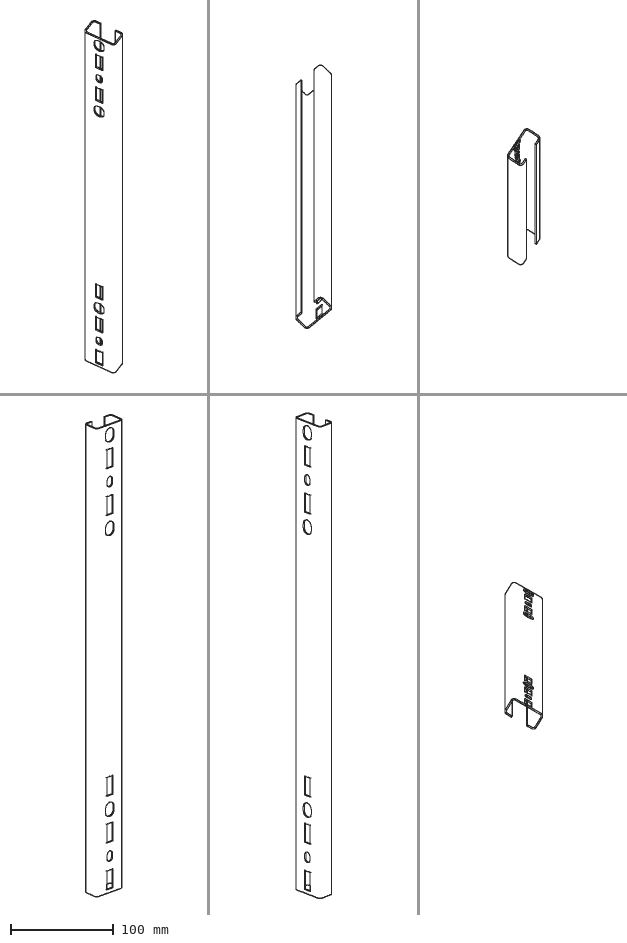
import cadquery as cq

WIDTH = 35.0
DEPTH = 18.0
LENGTH = 500.0
WALL = 1.5
MOUTH = 17.0
OUTER_RADIUS = 3.5
INNER_RADIUS = OUTER_RADIUS - WALL

PITCH = 25.0
FIRST_FROM_TOP = 11.0
FIRST_FROM_BOTTOM = 14.0
RECTANGLE = (8.0, 20.0)
SMALL_WIDTH = 7.0
LARGE_WIDTH = 11.0
SLOT_TRAVEL = 4.0
ALONG_RAIL = 90

TOP_ROW = ("large", "rectangle", "small", "rectangle", "large")
BOTTOM_ROW = ("rectangle", "small", "rectangle", "large", "rectangle")

WEB_FACE = -DEPTH / 2
CUT_DEPTH = 2 * WALL


def rounded_bar(width, depth, radius):
    """Full-length bar with its four long edges rounded, centred on the Z axis."""
    bar = cq.Workplane("XY").rect(width, depth).extrude(LENGTH)
    return bar.edges("|Z").fillet(radius)


def make_rail():
    """C-shaped section: a hollow bar opened on its +Y side between the lips."""
    outer = rounded_bar(WIDTH, DEPTH, OUTER_RADIUS)
    hollow = rounded_bar(WIDTH - 2 * WALL, DEPTH - 2 * WALL, INNER_RADIUS)
    mouth = cq.Workplane("XY").center(0, DEPTH / 2).rect(MOUTH, DEPTH).extrude(LENGTH)
    return outer.cut(hollow).cut(mouth)


def opening(kind, height):
    """Cutter through the web, with its centre at the given height."""
    plane = cq.Workplane("XZ", origin=(0, WEB_FACE, height))
    if kind == "rectangle":
        outline = plane.rect(*RECTANGLE)
    else:
        slot_width = LARGE_WIDTH if kind == "large" else SMALL_WIDTH
        outline = plane.slot2D(slot_width + SLOT_TRAVEL, slot_width, ALONG_RAIL)
    return outline.extrude(-CUT_DEPTH)


def cut_rows(rail):
    """Cut the top row downwards and the bottom row upwards at the common pitch."""
    for index, kind in enumerate(TOP_ROW):
        rail = rail.cut(opening(kind, LENGTH - FIRST_FROM_TOP - index * PITCH))
    for index, kind in enumerate(BOTTOM_ROW):
        rail = rail.cut(opening(kind, FIRST_FROM_BOTTOM + index * PITCH))
    return rail


result = cut_rows(make_rail())